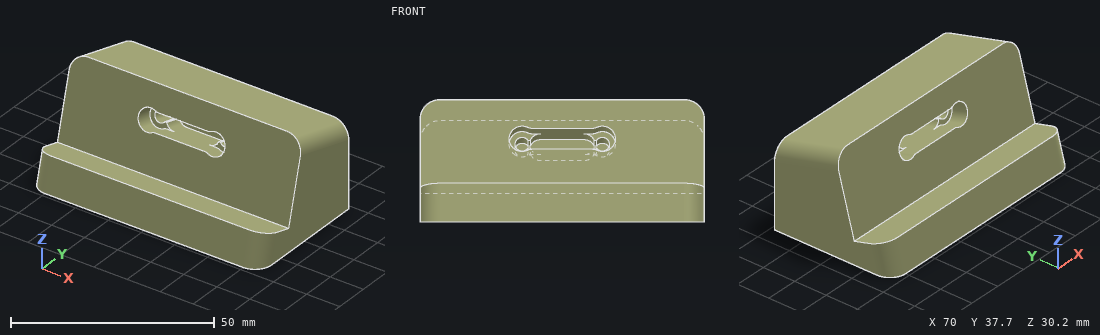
import cadquery as cq
import math

width = 70.0
base_depth = 37.7
height = 30.2
tilt = 15.0
corner_radius = 5.0

shelf_length = 10.0
lip_height = 9.6

recess_z = 20.5
recess_depth = 5.2
socket_depth = 10.8
end_spacing = 19.75
end_radius = 3.2
slot_width = 5.3
blend_radius = 2.0
socket_length = 16.1
hole_radius = 1.75
channel_width = 2.0

sin_tilt = math.sin(math.radians(tilt))
cos_tilt = math.cos(math.radians(tilt))
tan_tilt = math.tan(math.radians(tilt))

lip_y = lip_height * tan_tilt
shelf_y = lip_y + shelf_length * cos_tilt
shelf_z = lip_height - shelf_length * sin_tilt
ridge_y = shelf_y + (height - shelf_z) * tan_tilt
back_height = height - (base_depth - ridge_y) * tan_tilt


def make_body():
    """Extruded side profile with rounded top and front corners."""
    profile = [
        (0, 0),
        (lip_y, lip_height),
        (shelf_y, shelf_z),
        (ridge_y, height),
        (base_depth, back_height),
        (base_depth, 0),
    ]
    body = cq.Workplane("YZ").polyline(profile).close().extrude(width / 2, both=True)
    top_edges = cq.selectors.ParallelDirSelector(cq.Vector(0, cos_tilt, -sin_tilt))
    front_edges = cq.selectors.ParallelDirSelector(cq.Vector(0, sin_tilt, cos_tilt))
    top_sides = body.edges(top_edges).edges(">Z")
    front_sides = body.edges(front_edges).edges("<Y")
    return body.newObject(top_sides.vals() + front_sides.vals()).fillet(corner_radius)


def make_recess():
    """Dumbbell recess, with a deeper socket and two holes in its floor."""
    recess_y = shelf_y + (recess_z - shelf_z) * tan_tilt
    face = cq.Workplane(
        cq.Plane(
            origin=(0, recess_y, recess_z),
            xDir=(1, 0, 0),
            normal=(0, -cos_tilt, sin_tilt),
        )
    )
    end_x = end_spacing / 2
    slot_y = slot_width / 2
    blend_y = slot_y + blend_radius
    center_gap = end_radius + blend_radius
    slot_x = end_x - math.sqrt(center_gap**2 - blend_y**2)
    tangent_x = end_x - (end_x - slot_x) * end_radius / center_gap
    tangent_y = blend_y * end_radius / center_gap
    half_turn = math.acos(blend_y / center_gap) / 2
    middle_x = slot_x + blend_radius * math.sin(half_turn)
    middle_y = blend_y - blend_radius * math.cos(half_turn)
    slot = (
        face.moveTo(-slot_x, slot_y)
        .lineTo(slot_x, slot_y)
        .threePointArc((middle_x, middle_y), (tangent_x, tangent_y))
        .threePointArc((end_x + end_radius, 0), (tangent_x, -tangent_y))
        .threePointArc((middle_x, -middle_y), (slot_x, -slot_y))
        .lineTo(-slot_x, -slot_y)
        .threePointArc((-middle_x, -middle_y), (-tangent_x, -tangent_y))
        .threePointArc((-end_x - end_radius, 0), (-tangent_x, tangent_y))
        .threePointArc((-middle_x, middle_y), (-slot_x, slot_y))
        .close()
        .extrude(-recess_depth)
    )
    socket = face.slot2D(socket_length, slot_width).extrude(-socket_depth)
    holes = face.pushPoints([(-end_x, 0), (end_x, 0)]).circle(hole_radius).extrude(-socket_depth)
    channel = face.rect(end_spacing, channel_width).extrude(-socket_depth)
    return slot.union(socket).union(holes).union(channel)


result = make_body().cut(make_recess())